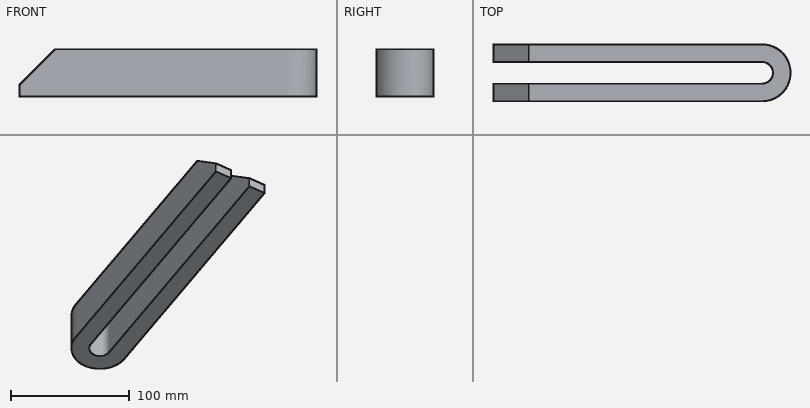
import cadquery as cq

length = 250.0
height = 40.0
leg_thickness = 15.0
slot_width = 18.0
nose_height = 10.0
bevel_length = 30.0

outer_radius = slot_width / 2 + leg_thickness
inner_radius = slot_width / 2
bend_center_x = length - outer_radius


def round_ended_bar(radius):
    """Bar from X = 0, with a half-round end about the bend centre."""
    return (
        cq.Workplane("XY")
        .moveTo(0, -radius)
        .lineTo(bend_center_x, -radius)
        .threePointArc((bend_center_x + radius, 0), (bend_center_x, radius))
        .lineTo(0, radius)
        .close()
        .extrude(height)
    )


u_body = round_ended_bar(outer_radius).cut(round_ended_bar(inner_radius))

tip_bevel = (
    cq.Workplane("XZ")
    .moveTo(0, nose_height)
    .lineTo(bevel_length, height)
    .lineTo(0, height)
    .close()
    .extrude(outer_radius, both=True)
)

result = u_body.cut(tip_bevel)